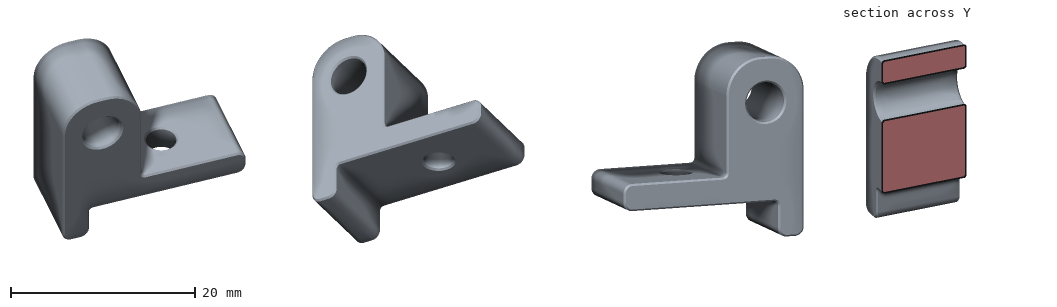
import cadquery as cq

width = 10.0
depth = 21.0
height = 20.0

post_depth = 9.0
post_top_radius = 4.0
plate_bottom = 4.0
plate_thickness = 3.0
foot_depth = 3.0
end_radius = 1.0
inner_radius = 0.5

pivot_diameter = 4.4
pivot_height = 15.0
screw_diameter = 3.3
screw_y = 13.0
edge_chamfer = 0.2

plate_top = plate_bottom + plate_thickness


def fillet_corners(body, corners, radius):
    """Round the X-parallel edges that pass through the given (y, z) corners."""
    for y, z in corners:
        body = body.edges(cq.selectors.NearestToPointSelector((0, y, z))).fillet(radius)
    return body


def make_body():
    """Post with a rear plate and a short foot, chamfered around both side faces."""
    outline = [
        (0, 0),
        (foot_depth, 0),
        (foot_depth, plate_bottom),
        (depth, plate_bottom),
        (depth, plate_top),
        (post_depth, plate_top),
        (post_depth, height),
        (0, height),
    ]
    body = cq.Workplane("YZ").polyline(outline).close().extrude(width / 2, both=True)

    post_top = [(0, height), (post_depth, height)]
    free_ends = [(0, 0), (foot_depth, 0), (depth, plate_bottom), (depth, plate_top)]
    inner_corners = [(foot_depth, plate_bottom), (post_depth, plate_top)]
    body = fillet_corners(body, post_top, post_top_radius)
    body = fillet_corners(body, free_ends, end_radius)
    body = fillet_corners(body, inner_corners, inner_radius)
    return body.faces("<X or >X").chamfer(edge_chamfer)


def chamfered_hole_cutter(plane, diameter, length):
    """Cylinder along the plane's local Y, flared at both ends to chamfer the hole rims."""
    radius = diameter / 2
    half_section = [
        (0, 0),
        (radius + edge_chamfer, 0),
        (radius, edge_chamfer),
        (radius, length - edge_chamfer),
        (radius + edge_chamfer, length),
        (0, length),
    ]
    return cq.Workplane(plane).polyline(half_section).close().revolve(360, (0, 0), (0, 1))


def make_pivot_hole():
    """Cross hole through the post along X."""
    cutter = chamfered_hole_cutter("YX", pivot_diameter, width)
    return cutter.translate((-width / 2, post_depth / 2, pivot_height))


def make_screw_hole():
    """Vertical hole through the plate."""
    cutter = chamfered_hole_cutter("XZ", screw_diameter, plate_thickness)
    return cutter.translate((0, screw_y, plate_bottom))


result = make_body().cut(make_pivot_hole()).cut(make_screw_hole())